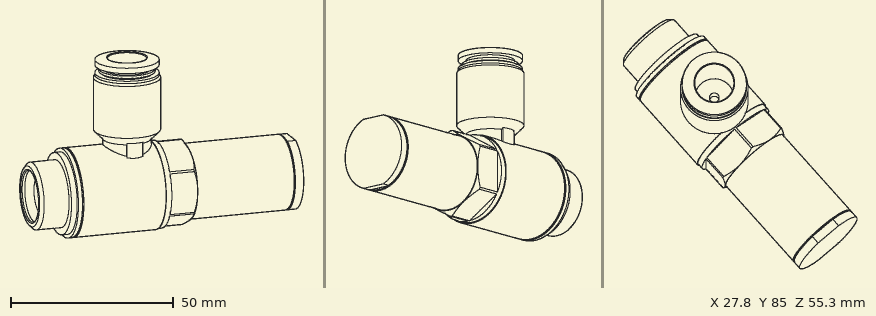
import cadquery as cq
import math

length = 85.0
thread_diameter = 21.0
thread_chamfer = 1.1
shoulder_diameter = 25.5
shoulder_start = 9.2
body_diameter = 27.8
body_start = 11.05
body_end = 39.6
ring_groove_start = 12.4
ring_groove_width = 0.4
ring_groove_depth = 0.2
hex_start = 41.5
hex_end = 50.5
hex_flats = 23.9
hex_corner_diameter = 27.2
hex_chamfer_length = 1.1
barrel_diameter = 23.5
cap_groove_diameter = 22.95
cap_groove_width = 0.3
cap_start = 82.3
cap_flats = 21.9

socket_mouth_diameter = 16.7
socket_diameter = 16.0
socket_floor_diameter = 12.0
socket_chamfer = 0.3
socket_land_end = 1.2
socket_depth = 3.5

branch_y = 31.6
branch_height = 55.3 - body_diameter / 2
stem_diameter = 15.0
stem_top = 15.6
sleeve_diameter = 20.7
sleeve_bottom = 18.5
sleeve_shoulder = 35.1
collar_diameter = 19.8
collar_bottom = 35.9
collar_top = 36.6
lower_neck_diameter = 16.0
ring_diameter = 17.4
ring_bottom = 37.15
ring_top = 37.9
flange_bottom = 39.1
flange_top = 40.8
key_diameter = 16.0
key_width = 5.1
key_top = 16.15
bore_diameter = 12.0
bore_depth = 18.7
bore_chamfer = 0.25
pilot_diameter = 3.0
pilot_depth = 4.25


def revolve_y(stations):
    """Turn (diameter, y) stations about the main axis."""
    outline = [(0, stations[0][1])]
    outline += [(diameter / 2, y) for diameter, y in stations]
    outline.append((0, stations[-1][1]))
    return cq.Workplane("XY").polyline(outline).close().revolve(360, (0, 0), (0, 1))


def revolve_branch(stations):
    """Turn (diameter, z) stations about the branch axis."""
    outline = [(0, stations[0][1])]
    outline += [(diameter / 2, z) for diameter, z in stations]
    outline.append((0, stations[-1][1]))
    plane = cq.Workplane("XZ", origin=(0, branch_y, 0))
    return plane.polyline(outline).close().revolve(360, (0, 0), (0, 1))


def steps(sections):
    """Expand (diameter, start, end) cylinders into outline stations."""
    return [(diameter, place) for diameter, start, end in sections for place in (start, end)]


def make_main_body():
    groove_diameter = body_diameter - 2 * ring_groove_depth
    ring_groove_end = ring_groove_start + ring_groove_width
    cap_groove_start = cap_start - cap_groove_width
    thread_end = [(thread_diameter - 2 * thread_chamfer, 0)]
    return revolve_y(thread_end + steps([
        (thread_diameter, thread_chamfer, shoulder_start),
        (shoulder_diameter, shoulder_start, body_start),
        (body_diameter, body_start, ring_groove_start),
        (groove_diameter, ring_groove_start, ring_groove_end),
        (body_diameter, ring_groove_end, body_end),
        (hex_corner_diameter, body_end, hex_start),
        (barrel_diameter, hex_start, cap_groove_start),
        (cap_groove_diameter, cap_groove_start, cap_start),
    ]))


def make_hex():
    """Hexagon with corners up and down, trimmed by a turned blank."""
    hexagon = (
        cq.Workplane("XZ", origin=(0, hex_end, 0))
        .transformed(rotate=(0, 0, 90))
        .polygon(6, hex_flats / math.cos(math.pi / 6))
        .extrude(hex_end - hex_start)
    )
    blank = revolve_y([
        (hex_corner_diameter, hex_start),
        (hex_corner_diameter, hex_end - hex_chamfer_length),
        (hex_flats, hex_end),
    ])
    return hexagon.intersect(blank)


def make_cap():
    """End disc with flats above and below."""
    cap_length = length - cap_start
    disc = revolve_y(steps([(barrel_diameter, cap_start, length)]))
    flats = cq.Workplane("XY").box(barrel_diameter, cap_length, cap_flats)
    return disc.intersect(flats.translate((0, cap_start + cap_length / 2, 0)))


def make_branch():
    rim = [(bore_diameter + 2 * bore_chamfer, branch_height)]
    stem = revolve_branch(steps([
        (stem_diameter, 0, stem_top),
        (sleeve_diameter, sleeve_bottom, sleeve_shoulder),
        (collar_diameter, collar_bottom, collar_top),
        (lower_neck_diameter, collar_top, ring_bottom),
        (ring_diameter, ring_bottom, ring_top),
        (stem_diameter, ring_top, flange_bottom),
        (collar_diameter, flange_bottom, flange_top),
    ]) + rim)
    key_blank = revolve_branch(steps([(key_diameter, 0, key_top)]))
    key_slab = cq.Workplane("XY").box(key_diameter, key_width, 2 * key_top)
    keys = key_blank.intersect(key_slab.translate((0, branch_y, 0)))
    return stem.union(keys)


def make_socket():
    return revolve_y([
        (socket_mouth_diameter, 0),
        (socket_diameter, socket_chamfer),
        (socket_diameter, socket_land_end),
        (socket_floor_diameter, socket_depth),
    ])


def make_bore():
    floor = branch_height - bore_depth
    return revolve_branch([
        (pilot_diameter, floor - pilot_depth),
        (pilot_diameter, floor),
        (bore_diameter, floor),
        (bore_diameter, branch_height - bore_chamfer),
        (bore_diameter + 2 * bore_chamfer, branch_height),
    ])


solid = make_main_body().union(make_hex()).union(make_cap()).union(make_branch())
fitting = solid.cut(make_socket()).cut(make_bore())
result = fitting.translate((0, -length / 2, 0))